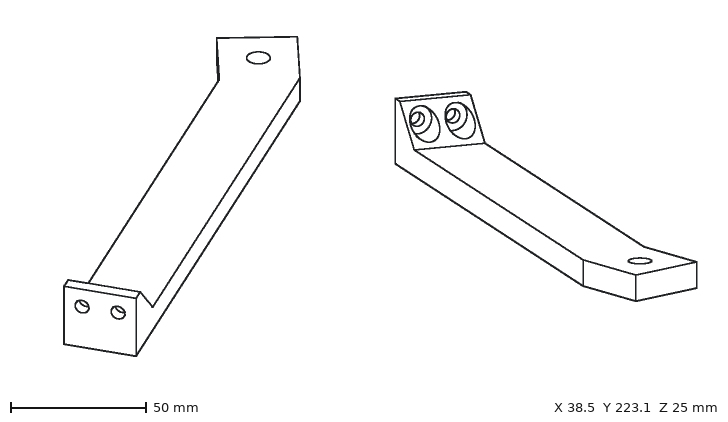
import cadquery as cq
import math

length = 223.1
thickness = 10.0
lug_side = 30.0
lug_angle = math.radians(20)
lug_hole_diameter = 8.7
flange_height = 25.0
flange_top_depth = 5.0
screw_diameter = 5.4
screw_head_diameter = 11.2

lug_rise = lug_side * math.sin(lug_angle)
lug_run = lug_side * math.cos(lug_angle)
arm_width = lug_run
joint_rise = arm_width * math.tan(lug_angle)
right_bend_y = length - lug_run
left_bend_y = right_bend_y - joint_rise
tip_x = arm_width - lug_rise
slope_size = flange_height - thickness


def make_arm():
    """Flat bar with the lug leaning towards -X."""
    return (
        cq.Workplane("XY")
        .moveTo(0, 0)
        .lineTo(arm_width, 0)
        .lineTo(arm_width, right_bend_y)
        .lineTo(tip_x, length)
        .lineTo(-lug_rise, left_bend_y + lug_run)
        .lineTo(0, left_bend_y)
        .close()
        .extrude(thickness)
    )


def make_flange():
    """Upright end block with a 45 degree back."""
    return (
        cq.Workplane("YZ")
        .moveTo(0, 0)
        .lineTo(0, flange_height)
        .lineTo(flange_top_depth, flange_height)
        .lineTo(flange_top_depth + slope_size, thickness)
        .lineTo(flange_top_depth + slope_size, 0)
        .close()
        .extrude(arm_width)
    )


def make_lug_hole():
    """Vertical hole through the middle of the lug."""
    center_x = (arm_width - lug_rise) / 2
    center_y = (left_bend_y + length) / 2
    return (
        cq.Workplane("XY")
        .center(center_x, center_y)
        .circle(lug_hole_diameter / 2)
        .extrude(thickness)
    )


def make_screw_hole(x):
    """Hole along Y with a head recess cut in from the sloping back."""
    z = (thickness + flange_height) / 2
    depth = flange_top_depth + slope_size
    along_y = cq.Vector(0, 1, 0)
    shank = cq.Solid.makeCylinder(screw_diameter / 2, depth, cq.Vector(x, 0, z), along_y)
    head_seat = cq.Vector(x, flange_top_depth, z)
    head = cq.Solid.makeCylinder(screw_head_diameter / 2, slope_size, head_seat, along_y)
    return cq.Workplane(shank).union(cq.Workplane(head))


result = make_arm().union(make_flange()).cut(make_lug_hole())
for width_fraction in (0.25, 0.75):
    result = result.cut(make_screw_hole(arm_width * width_fraction))